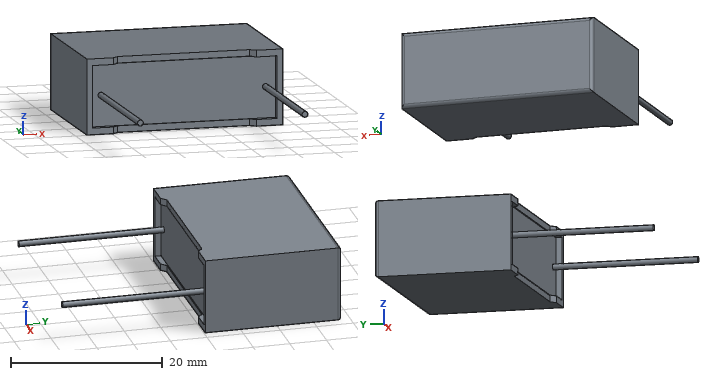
import cadquery as cq

CASE_WIDTH = 26.8
CASE_HEIGHT = 10.23
CASE_DEPTH = 18.6
TOTAL_LENGTH = 37.6

SIDE_WALL = 0.8
TOP_WALL = 0.9
BACK_WALL = 0.8
BACK_FILLET = 0.5

RELIEF_DEPTH = 0.68
FOOT_WIDTH = 3.6
RELIEF_SLOPE_WIDTH = 0.8

FILL_RECESS = 0.83

LEAD_DIAMETER = 0.8
LEAD_SPACING = 22.52

LEAD_TIP_Y = -TOTAL_LENGTH / 2
BACK_Y = TOTAL_LENGTH / 2
RIM_Y = BACK_Y - CASE_DEPTH
FILL_FACE_Y = RIM_Y + FILL_RECESS
CAVITY_END_Y = BACK_Y - BACK_WALL

CAVITY_WIDTH = CASE_WIDTH - 2 * SIDE_WALL
CAVITY_HEIGHT = CASE_HEIGHT - 2 * TOP_WALL


def block_along_y(width, height, start_y, end_y):
    """Block centred in X and Z that spans start_y to end_y."""
    length = end_y - start_y
    return cq.Workplane("XY").box(width, length, height).translate((0, (start_y + end_y) / 2, 0))


def rim_relief():
    """Trapezoidal cutter that lowers the middle of the rim over the full height."""
    half_mouth = CASE_WIDTH / 2 - FOOT_WIDTH
    half_floor = half_mouth - RELIEF_SLOPE_WIDTH
    floor_y = RIM_Y + RELIEF_DEPTH
    return (
        cq.Workplane("XY")
        .polyline([(-half_mouth, RIM_Y), (half_mouth, RIM_Y), (half_floor, floor_y), (-half_floor, floor_y)])
        .close()
        .extrude(CASE_HEIGHT / 2, both=True)
    )


def make_case():
    """Box open at the front, with a rounded back and a relieved rim."""
    outside = block_along_y(CASE_WIDTH, CASE_HEIGHT, RIM_Y, BACK_Y).faces(">Y").edges().fillet(BACK_FILLET)
    cavity = block_along_y(CAVITY_WIDTH, CAVITY_HEIGHT, RIM_Y, CAVITY_END_Y)
    return outside.cut(cavity).cut(rim_relief())


def make_filling():
    """Block that fills the cavity behind the recess."""
    return block_along_y(CAVITY_WIDTH, CAVITY_HEIGHT, FILL_FACE_Y, CAVITY_END_Y)


def make_lead(x):
    """Straight round wire from the filling face to the lead tip."""
    lead_length = FILL_FACE_Y - LEAD_TIP_Y
    lead = cq.Solid.makeCylinder(
        LEAD_DIAMETER / 2, lead_length, cq.Vector(x, LEAD_TIP_Y, 0), cq.Vector(0, 1, 0)
    )
    return lead


case = make_case()
filling = make_filling()
leads = [make_lead(side * LEAD_SPACING / 2) for side in (-1, 1)]

result = cq.Compound.makeCompound([case.val(), filling.val(), *leads])